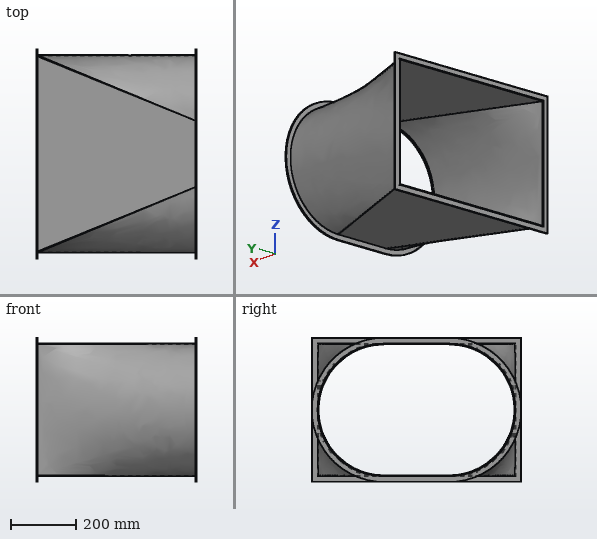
import cadquery as cq

length = 490.0
outer_width = 640.0
outer_height = 440.0
flange_thickness = 5.0
flange_rim = 17.0
wall = 3.0

duct_width = outer_width - 2 * flange_rim
duct_height = outer_height - 2 * flange_rim

rectangular_end = 0.0
obround_end = length


def rectangle_edges(x, width, height):
    """Top, +Y side, bottom and -Y side of a rectangle in the plane at x."""
    half_width = width / 2
    half_height = height / 2
    corners = [
        cq.Vector(x, -half_width, half_height),
        cq.Vector(x, half_width, half_height),
        cq.Vector(x, half_width, -half_height),
        cq.Vector(x, -half_width, -half_height),
    ]
    return [cq.Edge.makeLine(corners[i], corners[(i + 1) % 4]) for i in range(4)]


def obround_edges(x, width, height):
    """Top, +Y arc, bottom and -Y arc of an obround in the plane at x."""
    half_width = width / 2
    radius = height / 2
    half_flat = half_width - radius
    top_left = cq.Vector(x, -half_flat, radius)
    top_right = cq.Vector(x, half_flat, radius)
    bottom_right = cq.Vector(x, half_flat, -radius)
    bottom_left = cq.Vector(x, -half_flat, -radius)
    return [
        cq.Edge.makeLine(top_left, top_right),
        cq.Edge.makeThreePointArc(top_right, cq.Vector(x, half_width, 0), bottom_right),
        cq.Edge.makeLine(bottom_right, bottom_left),
        cq.Edge.makeThreePointArc(bottom_left, cq.Vector(x, -half_width, 0), top_left),
    ]


def transition_solid(width, height):
    """Solid whose straight-ruled sides run from the rectangle to the obround."""
    start = rectangle_edges(rectangular_end, width, height)
    end = obround_edges(obround_end, width, height)
    sides = [cq.Face.makeRuledSurface(a, b) for a, b in zip(start, end)]
    caps = [cq.Face.makeFromWires(cq.Wire.assembleEdges(edges)) for edges in (start, end)]
    solid = cq.Solid.makeSolid(cq.Shell.makeShell(sides + caps))
    return cq.Workplane(solid.fix())


def make_duct():
    """Thin-walled duct, open at both ends."""
    outside = transition_solid(duct_width, duct_height)
    inside = transition_solid(duct_width - 2 * wall, duct_height - 2 * wall)
    return outside.cut(inside)


def make_flange(edges_of, x):
    """Flat ring starting at x, with the duct's outside cut through it."""
    outline = cq.Wire.assembleEdges(edges_of(x, outer_width, outer_height))
    plate = cq.Solid.extrudeLinear(outline, [], cq.Vector(flange_thickness, 0, 0))
    return cq.Workplane(plate).cut(transition_solid(duct_width, duct_height))


duct = make_duct()
rectangular_flange = make_flange(rectangle_edges, rectangular_end)
obround_flange = make_flange(obround_edges, obround_end - flange_thickness)

result = cq.Compound.makeCompound([duct.val(), rectangular_flange.val(), obround_flange.val()])